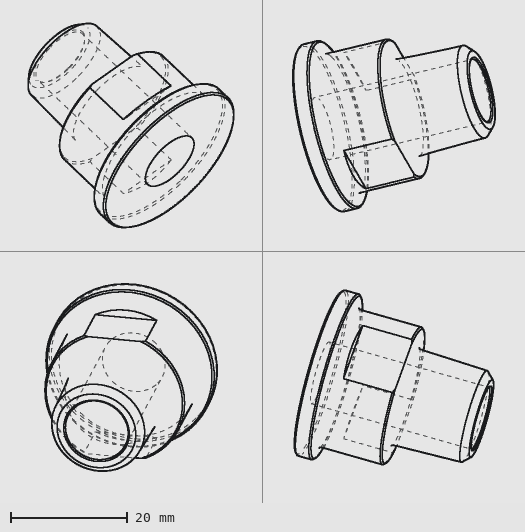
import cadquery as cq
import math

total_length = 29.0
flange_thickness = 3.0
flange_start = total_length - flange_thickness
shoulder_x = 14.0
nozzle_chamfer_length = 1.3

bore_radius = 11.0 / 2
body_radius = 24.5 / 2
flange_radius = 29.5 / 2
nozzle_tip_radius = 6.9
nozzle_start_radius = 8.15
nozzle_taper = 1 / 32

edge_chamfer = 0.3
bore_chamfer = 0.25
nozzle_fillet = 0.7
flange_fillet = 0.8

flats_width = 22.0
flat_end_x = 23.05
flat_end_slope = math.radians(15)


def fillet_middle(end_x, start_radius, size):
    """Midpoint of a concave quarter arc that meets a radial face at end_x."""
    inset = size * math.sin(math.pi / 4)
    return (end_x - size + inset, start_radius + size - inset)


def turned_body():
    """Nozzle, body and flange revolved about X, with the bore left open."""
    nozzle_fillet_x = shoulder_x - nozzle_fillet
    nozzle_end_radius = nozzle_start_radius + nozzle_taper * (nozzle_fillet_x - nozzle_chamfer_length)
    profile = (
        cq.Workplane("XY")
        .moveTo(bore_chamfer, bore_radius)
        .lineTo(0, bore_radius + bore_chamfer)
        .lineTo(0, nozzle_tip_radius)
        .lineTo(nozzle_chamfer_length, nozzle_start_radius)
        .lineTo(nozzle_fillet_x, nozzle_end_radius)
        .threePointArc(
            fillet_middle(shoulder_x, nozzle_end_radius, nozzle_fillet),
            (shoulder_x, nozzle_end_radius + nozzle_fillet),
        )
        .lineTo(shoulder_x, body_radius - edge_chamfer)
        .lineTo(shoulder_x + edge_chamfer, body_radius)
        .lineTo(flange_start - flange_fillet, body_radius)
        .threePointArc(
            fillet_middle(flange_start, body_radius, flange_fillet),
            (flange_start, body_radius + flange_fillet),
        )
        .lineTo(flange_start, flange_radius - edge_chamfer)
        .lineTo(flange_start + edge_chamfer, flange_radius)
        .lineTo(total_length - edge_chamfer, flange_radius)
        .lineTo(total_length, flange_radius - edge_chamfer)
        .lineTo(total_length, bore_radius)
        .close()
    )
    return profile.revolve(360, (0, 0, 0), (1, 0, 0))


def flat_cutter():
    """Prism above the +Z flat, with a sloped end wall toward the flange."""
    flat_z = flats_width / 2
    top_z = flange_radius
    top_x = flat_end_x + (top_z - flat_z) * math.tan(flat_end_slope)
    outline = [(0, flat_z), (flat_end_x, flat_z), (top_x, top_z), (0, top_z)]
    return cq.Workplane("XZ").polyline(outline).close().extrude(flange_radius, both=True)


upper_cutter = flat_cutter()
result = turned_body().cut(upper_cutter).cut(upper_cutter.mirror("XY"))